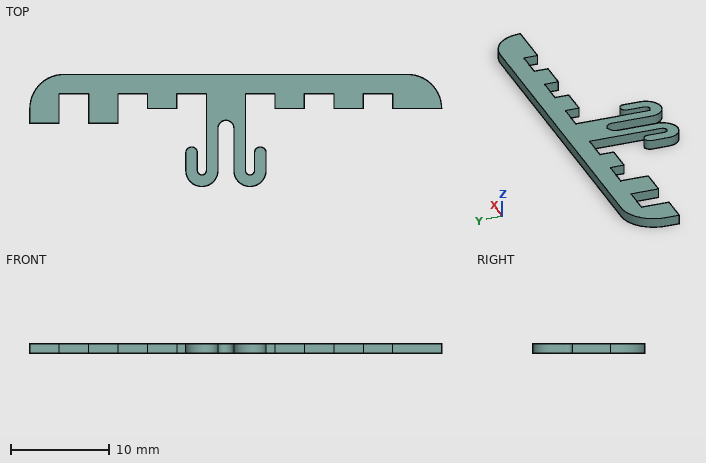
import cadquery as cq

thickness = 1.0
bar_length = 42.0
back_depth = 2.0
short_tooth_depth = 3.5
long_tooth_depth = 5.0
end_radius = short_tooth_depth
pitch = 3.0

stem_left = 6 * pitch
stem_width = 4.0
stem_right = stem_left + stem_width
stem_center = stem_left + stem_width / 2

leg_width = 1.2
leg_slot_width = stem_width - 2 * leg_width
leg_slot_center_y = -5.5

total_depth = 11.45
hook_gap = 0.9
hook_inner_radius = hook_gap / 2
hook_outer_radius = hook_inner_radius + leg_width
hook_offset = stem_width / 2 + hook_inner_radius
hook_center_y = hook_outer_radius - total_depth
hook_tip_center_y = -8.0

long_tooth_starts = [0, 2 * pitch]
short_tooth_starts = [4 * pitch, stem_right + pitch, stem_right + 3 * pitch]
last_tooth_start = stem_right + 5 * pitch


def block(left, right, top, bottom):
    """Full-thickness rectangle between two X and two Y limits."""
    center = ((left + right) / 2, (top + bottom) / 2)
    return cq.Workplane("XY").center(*center).rect(right - left, top - bottom).extrude(thickness)


def disc(x, y, radius):
    """Full-thickness disc."""
    return cq.Workplane("XY").center(x, y).circle(radius).extrude(thickness)


def comb_bar():
    """Back strip with its teeth and with both back corners rounded."""
    bar = block(0, bar_length, 0, -back_depth)
    for start in long_tooth_starts:
        bar = bar.union(block(start, start + pitch, 0, -long_tooth_depth))
    for start in short_tooth_starts:
        bar = bar.union(block(start, start + pitch, 0, -short_tooth_depth))
    bar = bar.union(block(last_tooth_start, bar_length, 0, -short_tooth_depth))
    return bar.intersect(rounded_envelope())


def rounded_envelope():
    """Bar-length plate whose two back corners carry the end radius."""
    envelope = block(0, bar_length, -end_radius, -long_tooth_depth)
    envelope = envelope.union(block(end_radius, bar_length - end_radius, 0, -long_tooth_depth))
    for x in (end_radius, bar_length - end_radius):
        envelope = envelope.union(disc(x, -end_radius, end_radius))
    return envelope


def hook(side):
    """J-shaped hook beside one leg; side is -1 for the left leg and 1 for the right."""
    center_x = stem_center + side * hook_offset
    arm_x = center_x + side * (hook_inner_radius + leg_width / 2)

    bend = disc(center_x, hook_center_y, hook_outer_radius)
    bend = bend.cut(disc(center_x, hook_center_y, hook_inner_radius))
    upper_half = block(
        center_x - hook_outer_radius, center_x + hook_outer_radius,
        hook_center_y + hook_outer_radius, hook_center_y,
    )
    bend = bend.cut(upper_half)

    arm = block(arm_x - leg_width / 2, arm_x + leg_width / 2, hook_tip_center_y, hook_center_y)
    tip = disc(arm_x, hook_tip_center_y, leg_width / 2)
    return bend.union(arm).union(tip)


def split_stem():
    """Stem reaching the hook bends, split into two legs by a round-ended slot."""
    stem = block(stem_left, stem_right, -back_depth, hook_center_y)
    slot_left = stem_center - leg_slot_width / 2
    slot_right = stem_center + leg_slot_width / 2
    slot = block(slot_left, slot_right, leg_slot_center_y, hook_center_y)
    slot_end = disc(stem_center, leg_slot_center_y, leg_slot_width / 2)
    return stem.cut(slot).cut(slot_end)


part = comb_bar().union(split_stem())
for side in (-1, 1):
    part = part.union(hook(side))
result = part.clean()